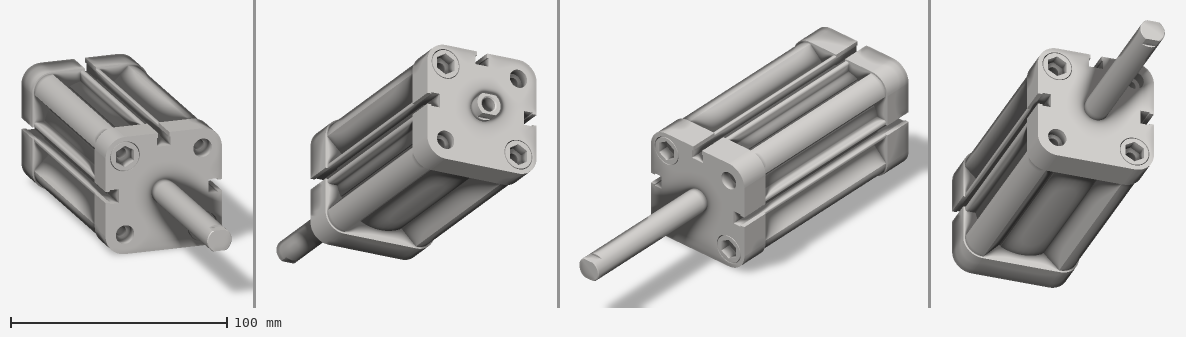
import math

import cadquery as cq


total_length = 200.0
cap_thickness = 15.0
barrel_length = 86.0
rod_rear_overhang = 7.0
barrel_start = rod_rear_overhang + cap_thickness
barrel_end = barrel_start + barrel_length

cap_size = 57.0
cap_half = cap_size / 2
bolt_offset = 19.0
corner_radius = cap_half - bolt_offset
through_hole_dia = 5.0
plain_bore_dia = 9.0
plain_bore_depth = 5.5
screw_ring_outer_dia = 14.5
screw_ring_inner_dia = 13.8
screw_ring_depth = 4.0
hex_across_flats = 9.0
hex_depth = 5.5

slot_neck_width = 5.5
slot_inner_width = 6.8
slot_lip_depth = 2.2
slot_lip_height = cap_half - slot_lip_depth
cap_slot_floor = 22.0
barrel_slot_floor = 22.5

barrel_half = 27.5
lobe_radius = barrel_half - bolt_offset
lobe_edge = 18.5
lobe_foot = 11.0
lobe_rise = math.sqrt(lobe_radius**2 - (lobe_edge - bolt_offset) ** 2)
lobe_top = bolt_offset + lobe_rise
groove_floor = lobe_top - (lobe_edge - lobe_foot)
tube_radius = 23.0
tube_edge = 10.2
tube_edge_height = math.sqrt(tube_radius**2 - tube_edge**2)
rail_half_width = 5.0
rail_root_height = math.sqrt(tube_radius**2 - rail_half_width**2)
rail_root_fillet = 0.5
rail_outer_rounding = 1.2
rail_mouth_rounding = 0.5

rod_dia = 12.0
flat_length = 5.2
flat_spacing = 10.0
front_chamfer = 0.5
tap_dia = 6.8
tap_mouth_dia = 8.0
tap_depth = 12.0
tap_tip_angle = 118.0

slot_angles = (0, 90, -90)
lobe_angles = (0, 90, 180, 270)

bolt_points = [(sy * bolt_offset, sz * bolt_offset) for sy in (1, -1) for sz in (1, -1)]
screw_points = [(y, z) for y, z in bolt_points if y * z > 0]
plain_points = [(y, z) for y, z in bolt_points if y * z < 0]


def section(x):
    """Sketch plane across the X axis, with local axes along +Y and +Z."""
    return cq.Workplane("YZ", origin=(x, 0, 0))


def turned(shape, angle):
    """Copy of a shape turned about the cylinder axis."""
    return shape.rotate((0, 0, 0), (1, 0, 0), angle)


def centred_bar(x, length, width, low, high):
    """Bar along X, centred on Y, between two heights."""
    return section(x).center(0, (low + high) / 2).rect(width, high - low).extrude(length)


def t_slot(x, length, floor):
    """Cutter for a T-slot that opens on the top side."""
    neck = centred_bar(x, length, slot_neck_width, floor, cap_half)
    return neck.union(centred_bar(x, length, slot_inner_width, floor, slot_lip_height))


def circular_holes(x, length, points, diameter):
    return section(x).pushPoints(points).circle(diameter / 2).extrude(length)




def screw_recess(y, z):
    """Cutter for the gap around a flush screw head and for its hexagon socket."""
    centre = section(0).center(y, z)
    ring = centre.circle(screw_ring_outer_dia / 2).circle(screw_ring_inner_dia / 2).extrude(screw_ring_depth)
    hex_corner_dia = hex_across_flats / math.cos(math.pi / 6)
    socket = centre.transformed(rotate=(0, 0, 90)).polygon(6, hex_corner_dia).extrude(hex_depth)
    return ring.union(socket)


def make_end_cap():
    """End cap with its fastener face at X = 0 and its barrel face at X = cap_thickness."""
    cap = section(0).rect(cap_size, cap_size).extrude(cap_thickness).edges("|X").fillet(corner_radius)
    slot = t_slot(0, cap_thickness, cap_slot_floor)
    for angle in slot_angles:
        cap = cap.cut(turned(slot, angle))
    cap = cap.cut(circular_holes(0, cap_thickness, bolt_points, through_hole_dia))
    cap = cap.cut(circular_holes(0, plain_bore_depth, plain_points, plain_bore_dia))
    for y, z in screw_points:
        cap = cap.cut(screw_recess(y, z))
    return cap.cut(circular_holes(0, cap_thickness, [(0, 0)], rod_dia))




def make_tube_side():
    """Quarter of the barrel's round tube, on the top side."""
    return (
        section(barrel_start)
        .moveTo(-tube_edge, 0)
        .lineTo(-tube_edge, tube_edge_height)
        .threePointArc((0, tube_radius), (tube_edge, tube_edge_height))
        .lineTo(tube_edge, 0)
        .close()
        .extrude(barrel_length)
    )


def round_long_edges(shape, half_width, height, radius):
    """Fillet the pair of X-wise edges at +-half_width and the given height."""
    middle = barrel_start + barrel_length / 2
    for y in (-half_width, half_width):
        shape = shape.edges(cq.selectors.NearestToPointSelector((middle, y, height))).fillet(radius)
    return shape


def make_railed_side():
    """Top side of the tube with its T-slotted rail."""
    rail = centred_bar(barrel_start, barrel_length, 2 * rail_half_width, 0, barrel_half)
    side = make_tube_side().union(rail)
    side = round_long_edges(side, rail_half_width, barrel_half, rail_outer_rounding)
    side = round_long_edges(side, rail_half_width, rail_root_height, rail_root_fillet)
    side = side.cut(t_slot(barrel_start, barrel_length, barrel_slot_floor))
    return round_long_edges(side, slot_neck_width / 2, barrel_half, rail_mouth_rounding)


def make_lobe():
    """Corner lobe around a bolt hole, with 45 degree flanks."""
    arc_middle = bolt_offset + lobe_radius * math.sqrt(0.5)
    return (
        section(barrel_start)
        .moveTo(lobe_foot, lobe_foot)
        .lineTo(lobe_foot, groove_floor)
        .lineTo(lobe_edge, lobe_top)
        .threePointArc((arc_middle, arc_middle), (lobe_top, lobe_edge))
        .lineTo(groove_floor, lobe_foot)
        .close()
        .extrude(barrel_length)
    )


def make_barrel():
    """Extruded barrel between the end caps."""
    barrel = centred_bar(barrel_start, barrel_length, 2 * groove_floor, -groove_floor, groove_floor)
    lobe = make_lobe()
    for angle in lobe_angles:
        barrel = barrel.union(turned(lobe, angle))
    barrel = barrel.union(turned(make_tube_side(), 180))
    railed_side = make_railed_side()
    for angle in slot_angles:
        barrel = barrel.union(turned(railed_side, angle))
    barrel = barrel.cut(circular_holes(barrel_start, barrel_length, bolt_points, through_hole_dia))
    return barrel.cut(circular_holes(barrel_start, barrel_length, [(0, 0)], rod_dia))




def tapped_hole():
    """Cutter for the hole in the rear end, with a 45 degree mouth and a conical tip."""
    tap_radius = tap_dia / 2
    mouth_radius = tap_mouth_dia / 2
    tip_length = tap_radius / math.tan(math.radians(tap_tip_angle / 2))
    half_profile = [
        (0, 0),
        (0, mouth_radius),
        (mouth_radius - tap_radius, tap_radius),
        (tap_depth, tap_radius),
        (tap_depth + tip_length, 0),
    ]
    return cq.Workplane("XY").polyline(half_profile).close().revolve(360, (0, 0, 0), (1, 0, 0))


def make_rod():
    """Through rod with a pair of wrench flats at each end."""
    rod = section(0).circle(rod_dia / 2).extrude(total_length).faces(">X").chamfer(front_chamfer)
    for x in (0, total_length - flat_length):
        above_flat = centred_bar(x, flat_length, rod_dia, flat_spacing / 2, rod_dia / 2)
        for angle in (0, 180):
            rod = rod.cut(turned(above_flat, angle))
    return rod.cut(tapped_hole())



end_cap = make_end_cap()
cap_placements = [(0, rod_rear_overhang), (180, barrel_end + cap_thickness)]
end_caps = [end_cap.rotate((0, 0, 0), (0, 0, 1), turn).translate((x, 0, 0)) for turn, x in cap_placements]
barrel = make_barrel()
rod = make_rod()

result = cq.Compound.makeCompound([*[cap.val() for cap in end_caps], barrel.val(), rod.val()])